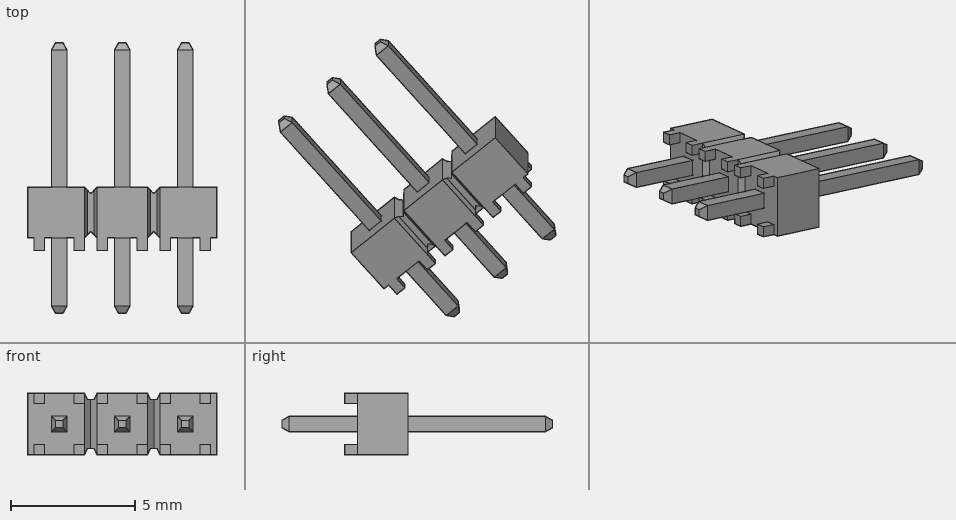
import cadquery as cq

PIN_COUNT = 3
TOTAL_WIDTH = 7.62
PITCH = TOTAL_WIDTH / PIN_COUNT

BLOCK_DEPTH = 2.04
BLOCK_HEIGHT = 2.49

GROOVE_DEPTH = 0.25
GROOVE_HALF_WIDTH = 0.25
GROOVE_FLOOR_HALF_WIDTH = 0.13

FOOT_SIZE = 0.43
FOOT_LENGTH = 0.51

PIN_LENGTH = 10.92
PIN_SIZE = 0.63
PIN_FRONT_REACH = 3.05
TIP_LENGTH = 0.3
TIP_SIZE = 0.3

PIN_XS = [(index - (PIN_COUNT - 1) / 2) * PITCH for index in range(PIN_COUNT)]
JOINT_XS = [x + PITCH / 2 for x in PIN_XS[:-1]]

MOULDED_PIN_X = PIN_XS[PIN_COUNT // 2]
LOOSE_PIN_XS = [x for x in PIN_XS if x != MOULDED_PIN_X]


def make_block():
    """Plain insulator block spanning all pin positions."""
    return cq.Workplane("XY").box(TOTAL_WIDTH, BLOCK_DEPTH, BLOCK_HEIGHT).translate((0, BLOCK_DEPTH / 2, 0))


def make_feet(position_x):
    """Four standoff feet of one position, set in from its sides by the groove half width."""
    foot_x = PITCH / 2 - GROOVE_HALF_WIDTH - FOOT_SIZE / 2
    foot_z = (BLOCK_HEIGHT - FOOT_SIZE) / 2
    feet = (
        cq.Workplane("XZ")
        .rect(2 * foot_x, 2 * foot_z, forConstruction=True)
        .vertices()
        .rect(FOOT_SIZE, FOOT_SIZE)
        .extrude(FOOT_LENGTH)
    )
    return feet.translate((position_x, 0, 0))


def make_joint_grooves(joint_x):
    """Cutter for one joint: flat-floored grooves above and below, V grooves front and rear."""
    half_height = BLOCK_HEIGHT / 2
    top_groove = (
        cq.Workplane("XZ")
        .moveTo(-GROOVE_HALF_WIDTH, half_height)
        .lineTo(-GROOVE_FLOOR_HALF_WIDTH, half_height - GROOVE_DEPTH)
        .lineTo(GROOVE_FLOOR_HALF_WIDTH, half_height - GROOVE_DEPTH)
        .lineTo(GROOVE_HALF_WIDTH, half_height)
        .close()
        .extrude(-BLOCK_DEPTH)
    )
    front_groove = (
        cq.Workplane("XY")
        .moveTo(-GROOVE_HALF_WIDTH, 0)
        .lineTo(0, GROOVE_DEPTH)
        .lineTo(GROOVE_HALF_WIDTH, 0)
        .close()
        .extrude(half_height, both=True)
    )
    bottom_groove = top_groove.mirror("XY")
    rear_groove = front_groove.mirror("XZ").translate((0, BLOCK_DEPTH, 0))
    grooves = top_groove.union(bottom_groove).union(front_groove).union(rear_groove)
    return grooves.translate((joint_x, 0, 0))


def make_pin(pin_x):
    """Square pin along Y with a tapered tip at each end."""
    shaft_length = PIN_LENGTH - 2 * TIP_LENGTH
    shaft = cq.Workplane("XZ").rect(PIN_SIZE, PIN_SIZE).extrude(shaft_length / 2, both=True)
    front_tip = (
        cq.Workplane("XZ", origin=(0, -shaft_length / 2, 0))
        .rect(PIN_SIZE, PIN_SIZE)
        .workplane(offset=TIP_LENGTH)
        .rect(TIP_SIZE, TIP_SIZE)
        .loft(ruled=True)
    )
    rear_tip = front_tip.mirror("XZ")
    pin = shaft.union(front_tip).union(rear_tip)
    return pin.translate((pin_x, PIN_LENGTH / 2 - PIN_FRONT_REACH, 0))


def make_housing(loose_pins):
    """Grooved insulator with feet and the moulded pin, and a matching through hole per loose pin."""
    housing = make_block()
    for joint_x in JOINT_XS:
        housing = housing.cut(make_joint_grooves(joint_x))
    for position_x in PIN_XS:
        housing = housing.union(make_feet(position_x))
    for pin in loose_pins:
        housing = housing.cut(pin)
    return housing.union(make_pin(MOULDED_PIN_X))


pins = [make_pin(pin_x) for pin_x in LOOSE_PIN_XS]
housing = make_housing(pins)

result = cq.Compound.makeCompound([housing.solids().val(), *[pin.solids().val() for pin in pins]])